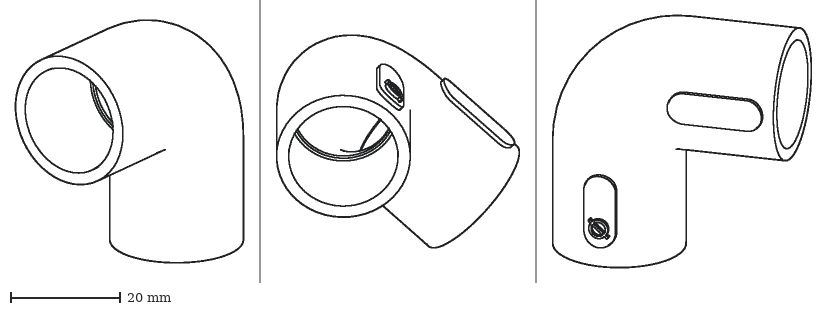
import cadquery as cq


overall_length = 45.25
outer_diameter = 24.5
leg_length = 20.4
outer_radius = outer_diameter / 2
end_distance = overall_length - outer_radius
bend_radius = end_distance - leg_length

socket_diameter = 20.0
bend_bore_diameter = 18.3
socket_depth = 20.0
bore_chamfer = 0.3

pad_width = 6.0
pad_height = 0.8
pad_end_offset = 11.05
horizontal_pad_length = 18.0
vertical_pad_length = 14.05
pad_center = pad_end_offset - end_distance

symbol_height = 1.5
symbol_diameter = 3.6
symbol_stroke = 0.45
slash_length = 4.85
slash_angle = 42.0
symbol_end_offset = 7.9
symbol_center = symbol_end_offset - end_distance


def vertical_cylinder(radius, length):
    """Cylinder in the vertical leg, starting at its open end."""
    return cq.Workplane("XY", origin=(0, 0, -end_distance)).circle(radius).extrude(length)


def lay_horizontal(leg_shape):
    """Swing a shape from the vertical leg (-Z) onto the horizontal leg (-Y)."""
    return leg_shape.rotate((0, 0, 0), (1, 0, 0), -90)


def bend(radius):
    """Quarter torus joining the two legs."""
    return (
        cq.Workplane("XY", origin=(0, 0, -bend_radius))
        .circle(radius)
        .revolve(90, (0, -bend_radius, 0), (1, -bend_radius, 0))
    )


def raised(outline, height):
    """Stand an outline (extruded along -X) off the vertical leg, with a top parallel to the wall."""
    wall_middle = (outer_radius + socket_diameter / 2) / 2
    sleeve = vertical_cylinder(outer_radius + height, leg_length)
    sleeve = sleeve.cut(vertical_cylinder(wall_middle, leg_length))
    return outline.intersect(sleeve)


def leg_plane(center):
    """Sketch plane through the leg axis, at a height along the vertical leg."""
    return cq.Workplane("YZ", origin=(0, 0, center))


def pad(length):
    outline = leg_plane(pad_center).slot2D(length, pad_width, 90).extrude(-end_distance)
    return raised(outline, pad_height)


def diameter_symbol():
    ring = (
        leg_plane(symbol_center)
        .circle(symbol_diameter / 2)
        .circle(symbol_diameter / 2 - symbol_stroke)
        .extrude(-end_distance)
    )
    slash = (
        leg_plane(symbol_center)
        .transformed(rotate=(0, 0, slash_angle))
        .rect(slash_length, symbol_stroke)
        .extrude(-end_distance)
    )
    return raised(ring.union(slash), symbol_height)


def leg_bore():
    """Socket with a flat shoulder, then a chamfered mouth into the bend bore."""
    socket_radius = socket_diameter / 2
    bore_radius = bend_bore_diameter / 2
    shoulder = socket_depth - end_distance
    return (
        cq.Workplane("XZ")
        .moveTo(0, -end_distance)
        .lineTo(socket_radius, -end_distance)
        .lineTo(socket_radius, shoulder)
        .lineTo(bore_radius + bore_chamfer, shoulder)
        .lineTo(bore_radius, shoulder + bore_chamfer)
        .lineTo(bore_radius, -bend_radius)
        .lineTo(0, -bend_radius)
        .close()
        .revolve(360, (0, 0, 0), (0, 1, 0))
    )


outer_leg = vertical_cylinder(outer_radius, leg_length)
vertical_leg = outer_leg.union(pad(vertical_pad_length)).union(diameter_symbol())
horizontal_leg = lay_horizontal(outer_leg.union(pad(horizontal_pad_length)))
body = bend(outer_radius).union(vertical_leg).union(horizontal_leg)

bore = leg_bore()
result = body.cut(bend(bend_bore_diameter / 2)).cut(bore).cut(lay_horizontal(bore))